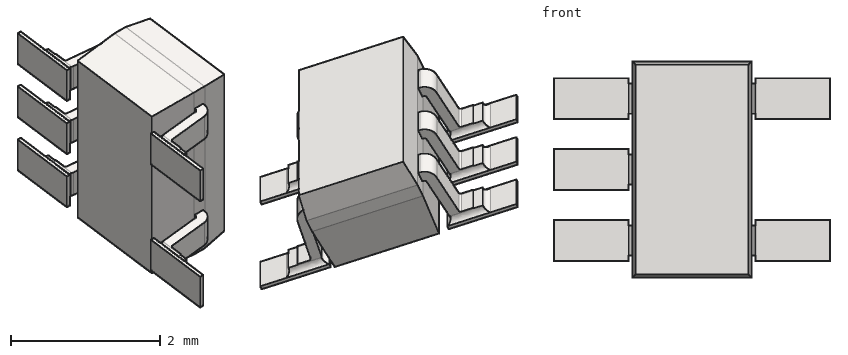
import cadquery as cq
import math


BODY_WIDTH = 1.602
BODY_LENGTH = 2.9
BODY_FRONT = 0.105
BAND_FRONT = 0.805
BAND_BACK = 1.003
BODY_BACK = 1.4
DRAFT_INSET = 0.048

TIP_TO_TIP = 3.7
PAD_LENGTH = 1
PAD_WIDTH = 0.55
PAD_THICKNESS = 0.055
LEAD_PITCH = 0.95

LEAD_WIDTH = 0.407
LEAD_THICKNESS = 0.15
LEAD_BACK = 0.975
FOOT_BACK = 0.163
INNER_BEND_RADIUS = 0.03
LEG_TILT = math.radians(6)
SHOULDER_LENGTH = 0.022
LEAD_EMBED = 0.075
LEAD_TOE_X = 1.27

SOLDER_TOE_X = 1.402
SOLDER_HEEL_X = 0.93
SOLDER_BACK = 0.15
FLARE_WIDTH = (PAD_WIDTH - LEAD_WIDTH) / 2


def make_tapered_half(start_y, end_y):
    """Frustum narrowing from the band at start_y to the end face at end_y."""
    depth = abs(end_y - start_y)
    taper = math.degrees(math.atan(DRAFT_INSET / depth))
    normal = (0, math.copysign(1, end_y - start_y), 0)
    plane = cq.Plane(origin=(0, start_y, 0), xDir=(1, 0, 0), normal=normal)
    return cq.Workplane(plane).rect(BODY_WIDTH, BODY_LENGTH).extrude(depth, taper=taper)


def make_body():
    band = cq.Workplane("XY").box(
        BODY_WIDTH, BAND_BACK - BAND_FRONT, BODY_LENGTH, centered=(True, False, True)
    ).translate((0, BAND_FRONT, 0))
    front_half = make_tapered_half(BAND_FRONT, BODY_FRONT)
    back_half = make_tapered_half(BAND_BACK, BODY_BACK)
    return band.union(front_half).union(back_half)


def make_lead():
    """Gull-wing lead on the +X side, swept along its centreline."""
    radius = INNER_BEND_RADIUS + LEAD_THICKNESS / 2
    shoulder_y = LEAD_BACK - LEAD_THICKNESS / 2
    foot_y = FOOT_BACK - LEAD_THICKNESS / 2
    bend_run = radius * math.cos(LEG_TILT)
    bend_drop = radius * (1 - math.sin(LEG_TILT))
    leg_drop = shoulder_y - foot_y - 2 * bend_drop

    bend_start_x = BODY_WIDTH / 2 + SHOULDER_LENGTH
    leg_top = (bend_start_x + bend_run, shoulder_y - bend_drop)
    leg_bottom = (leg_top[0] + leg_drop * math.tan(LEG_TILT), foot_y + bend_drop)
    foot_start = (leg_bottom[0] + bend_run, foot_y)
    lead_start_x = BODY_WIDTH / 2 - LEAD_EMBED

    centreline = (
        cq.Workplane("XY")
        .moveTo(lead_start_x, shoulder_y)
        .lineTo(bend_start_x, shoulder_y)
        .tangentArcPoint(leg_top, relative=False)
        .lineTo(*leg_bottom)
        .tangentArcPoint(foot_start, relative=False)
        .lineTo(LEAD_TOE_X, foot_y)
    )
    section = cq.Workplane("YZ", origin=(lead_start_x, shoulder_y, 0)).rect(LEAD_THICKNESS, LEAD_WIDTH)
    return section.sweep(centreline)


def make_flared_prism(plane, low, high, length):
    """Bar of solder height whose two sides flare out to the pad in concave quarter ellipses."""
    flare_height = SOLDER_BACK - PAD_THICKNESS
    return (
        cq.Workplane(plane)
        .workplane(offset=-length / 2)
        .moveTo(low - FLARE_WIDTH, PAD_THICKNESS)
        .ellipseArc(FLARE_WIDTH, flare_height, 270, 360)
        .lineTo(high, SOLDER_BACK)
        .ellipseArc(FLARE_WIDTH, flare_height, 180, 270)
        .close()
        .extrude(length)
    )


def make_solder():
    along_lead = make_flared_prism("XY", SOLDER_HEEL_X, SOLDER_TOE_X, PAD_WIDTH)
    across_lead = make_flared_prism("ZY", -LEAD_WIDTH / 2, LEAD_WIDTH / 2, TIP_TO_TIP)
    return along_lead.intersect(across_lead)


def make_pad():
    return cq.Workplane("XY").box(
        PAD_LENGTH, PAD_THICKNESS, PAD_WIDTH, centered=(False, False, True)
    ).translate((TIP_TO_TIP / 2 - PAD_LENGTH, 0, 0))


right_terminal = make_pad().union(make_solder()).union(make_lead())
left_terminal = right_terminal.mirror("YZ")

result = make_body()
for row in (-1, 1):
    result = result.union(right_terminal.translate((0, 0, row * LEAD_PITCH)))
for row in (-1, 0, 1):
    result = result.union(left_terminal.translate((0, 0, row * LEAD_PITCH)))